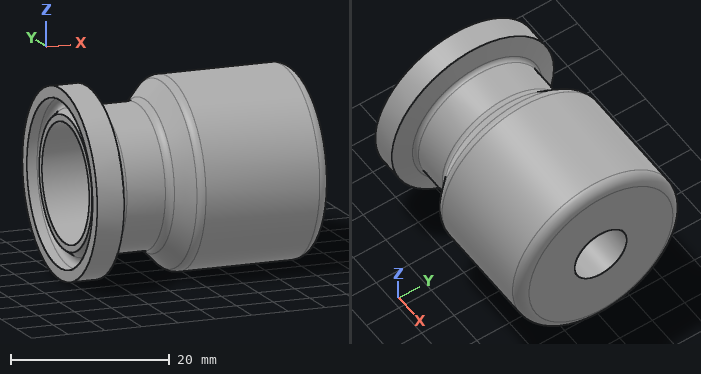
import cadquery as cq
import math

LENGTH = 31.75
BODY_RADIUS = 25.15 / 2
NECK_RADIUS = 19.05 / 2
FLANGE_RADIUS = 25.0 / 2

FLANGE_WIDTH = 3.65
FLANGE_BACK_ANGLE = 20.0
SHOULDER_START = 11.08
SHOULDER_ANGLE = 45.0
FLANGE_FILLET = 0.7
BODY_FILLET = 1.5

GROOVE_RADIUS = 21.9 / 2
GROOVE_WALL_DEPTH = 1.35
GROOVE_BOTTOM_RADIUS = 0.8
LIP_RADIUS = 17.55 / 2
LIP_SETBACK = 0.8
LIP_ANGLE = 35.0

BORE_RADIUS = 15.75 / 2
HOLE_RADIUS = 8.0 / 2
BORE_DEPTH = 14.8
BORE_CONE_ANGLE = 45.0


def revolve(profile):
    """Turn a closed (X, radius) profile about the X axis."""
    return profile.close().revolve(360, (0, 0, 0), (1, 0, 0))


def tangent_arc_ends(corner, direction_in, direction_out, radius):
    """Start, middle and end of the arc that rounds a corner; directions are travel angles in degrees."""
    turn = math.radians(direction_out - direction_in)
    setback = radius * abs(math.tan(turn / 2))
    angle_in = math.radians(direction_in)
    angle_out = math.radians(direction_out)
    start = (corner[0] - setback * math.cos(angle_in), corner[1] - setback * math.sin(angle_in))
    end = (corner[0] + setback * math.cos(angle_out), corner[1] + setback * math.sin(angle_out))
    sag = radius / math.cos(turn / 2) - radius
    side = math.copysign(1, turn)
    toward_center = (angle_in + angle_out) / 2 + side * math.pi / 2
    middle = (corner[0] + sag * math.cos(toward_center), corner[1] + sag * math.sin(toward_center))
    return start, middle, end


def outer_solid():
    """Flange, neck, shoulder cone and body as one solid."""
    flange_run = (FLANGE_RADIUS - NECK_RADIUS) * math.tan(math.radians(FLANGE_BACK_ANGLE))
    shoulder_run = (BODY_RADIUS - NECK_RADIUS) / math.tan(math.radians(SHOULDER_ANGLE))
    rounded_corners = [
        ((FLANGE_WIDTH + flange_run, NECK_RADIUS), FLANGE_BACK_ANGLE - 90, 0, FLANGE_FILLET),
        ((SHOULDER_START, NECK_RADIUS), 0, SHOULDER_ANGLE, BODY_FILLET),
        ((SHOULDER_START + shoulder_run, BODY_RADIUS), SHOULDER_ANGLE, 0, BODY_FILLET),
        ((LENGTH, BODY_RADIUS), 0, -90, BODY_FILLET),
    ]
    profile = cq.Workplane("XY").lineTo(0, FLANGE_RADIUS).lineTo(FLANGE_WIDTH, FLANGE_RADIUS)
    for corner in rounded_corners:
        start, middle, end = tangent_arc_ends(*corner)
        profile = profile.lineTo(*start).threePointArc(middle, end)
    return revolve(profile.lineTo(LENGTH, 0))


def face_recess():
    """Gasket groove, together with the setback in front of the lip."""
    center_radius = GROOVE_RADIUS - GROOVE_BOTTOM_RADIUS
    flank = math.radians(LIP_ANGLE)
    flank_end = (
        GROOVE_WALL_DEPTH + GROOVE_BOTTOM_RADIUS * math.sin(flank),
        center_radius - GROOVE_BOTTOM_RADIUS * math.cos(flank),
    )
    deepest = (GROOVE_WALL_DEPTH + GROOVE_BOTTOM_RADIUS, center_radius)
    profile = (
        cq.Workplane("XY")
        .lineTo(0, GROOVE_RADIUS)
        .lineTo(GROOVE_WALL_DEPTH, GROOVE_RADIUS)
        .threePointArc(deepest, flank_end)
        .lineTo(LIP_SETBACK, LIP_RADIUS)
        .lineTo(LIP_SETBACK, 0)
    )
    return revolve(profile)


def stepped_bore():
    """Wide bore that narrows through a cone to the through hole."""
    cone_length = (BORE_RADIUS - HOLE_RADIUS) / math.tan(math.radians(BORE_CONE_ANGLE))
    profile = (
        cq.Workplane("XY")
        .lineTo(0, BORE_RADIUS)
        .lineTo(BORE_DEPTH, BORE_RADIUS)
        .lineTo(BORE_DEPTH + cone_length, HOLE_RADIUS)
        .lineTo(LENGTH, HOLE_RADIUS)
        .lineTo(LENGTH, 0)
    )
    return revolve(profile)


result = outer_solid().cut(face_recess()).cut(stepped_bore())